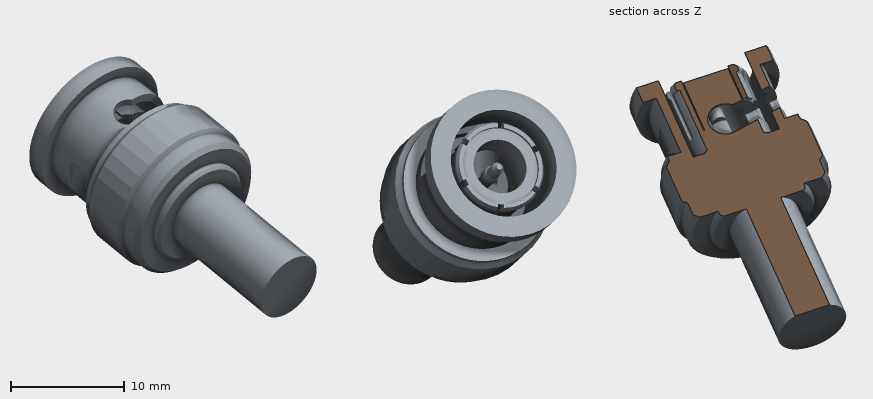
import cadquery as cq
import math


total_length = 27.3

flange_radius = 6.77
flange_end = 1.7
barrel_radius = 5.65
collar_start = 7.67
collar_radius = 6.77
collar_end = 8.15
knurl_facets = 36
knurl_radius = 7.248
knurl_start = 8.68
knurl_end = 12.53
rear_band_start = 12.83
rear_band_radius = 6.85
shell_end = 14.65
rear_band_chamfer = 0.45
bore_radius = 4.91

seat_x = 5.87
seat_y = 0.03
seat_radius = 1.55
track_mouth_start = 3.95
track_mouth_end = 6.3
track_seat_start = 4.95

flat_height = 3.39
flat_distance = math.sqrt(barrel_radius**2 - (flat_height / 2) ** 2)

finger_front = 0.76
finger_bump_radius = 4.08
finger_tip_radius = 3.88
finger_bump_start = 1.12
finger_bump_end = 1.5
finger_neck_start = 1.7
finger_radius = 3.85
finger_inner_radius = 3.52
finger_slot_width = 0.57
finger_count = 6
finger_pitch = 360 / finger_count

chamber_floor = 8.55
root_cone_height = finger_bump_radius - finger_radius
cavity_depth = 6.28
insulator_front = 1.0
insulator_radius = 3.5
insulator_bore_radius = 2.45
pin_radius = 0.695
pin_front_radius = 0.55
pin_tip = 1.2
pin_tip_radius = 0.232
pin_nose_end = 1.7
pin_taper_start = 3.0
pin_taper_end = 3.28

rear_ring_radius = bore_radius
rear_ring_end = 15.32
rear_ring_chamfer = 0.25
tube_radius = 3.22


def turned(profile):
    """Revolve a closed (x, radius) profile about the X axis."""
    return cq.Workplane("XY").polyline(profile).close().revolve(360, (0, 0, 0), (1, 0, 0))


def cylinder(radius, start, end):
    return cq.Workplane("YZ").workplane(offset=start).circle(radius).extrude(end - start)


def bayonet_slot():
    """Seat and entry track, cut from the axis plane upwards."""
    height = 2 * barrel_radius
    seat = cq.Workplane("XY").center(seat_x, seat_y).circle(seat_radius).extrude(height)
    mouth_y = barrel_radius
    mouth_dx = track_mouth_end - seat_x
    mouth_dy = mouth_y - seat_y
    mouth_distance = math.hypot(mouth_dx, mouth_dy)
    tangent_angle = math.atan2(mouth_dy, mouth_dx) - math.acos(seat_radius / mouth_distance)
    tangent_x = seat_x + seat_radius * math.cos(tangent_angle)
    tangent_y = seat_y + seat_radius * math.sin(tangent_angle)
    track = (
        cq.Workplane("XY")
        .moveTo(track_mouth_start, mouth_y)
        .lineTo(track_mouth_end, mouth_y)
        .lineTo(tangent_x, tangent_y)
        .lineTo(track_seat_start, seat_y)
        .close()
        .extrude(height)
    )
    return seat.union(track)


def knurl():
    """Faceted grip with one corner on each of the Y and Z axes, bevelled at both ends."""
    facets = (
        cq.Workplane("YZ")
        .workplane(offset=collar_end)
        .polygon(knurl_facets, 2 * knurl_radius)
        .extrude(rear_band_start - collar_end)
    )
    bevels = turned([
        (collar_end, 0),
        (collar_end, collar_radius),
        (knurl_start, knurl_radius),
        (knurl_end, knurl_radius),
        (rear_band_start, rear_band_radius),
        (rear_band_start, 0),
    ])
    return facets.intersect(bevels)


def barrel_flat():
    length = track_mouth_end - track_mouth_start
    centre_x = (track_mouth_start + track_mouth_end) / 2
    thickness = barrel_radius - flat_distance
    centre_y = -(flat_distance + thickness / 2)
    return cq.Workplane("XY").box(length, thickness, flat_height).translate((centre_x, centre_y, 0))


def shell():
    """Flange, barrel, collar, grip and rear band, bored from the front to the chamber floor."""
    body = cylinder(flange_radius, 0, flange_end)
    body = body.union(cylinder(barrel_radius, flange_end, collar_start))
    body = body.union(cylinder(collar_radius, collar_start, collar_end))
    body = body.union(knurl())
    rear_band = cylinder(rear_band_radius, rear_band_start, shell_end)
    body = body.union(rear_band.faces(">X").chamfer(rear_band_chamfer))
    return body.cut(cylinder(bore_radius, 0, chamber_floor)).cut(barrel_flat())


def contact_sleeve():
    """Sleeve with a tapered bump at its tip, divided by narrow radial slots."""
    sleeve = turned([
        (finger_front, finger_inner_radius),
        (finger_front, finger_tip_radius),
        (finger_bump_start, finger_bump_radius),
        (finger_bump_end, finger_bump_radius),
        (finger_neck_start, finger_radius),
        (chamber_floor - root_cone_height, finger_radius),
        (chamber_floor, finger_bump_radius),
        (chamber_floor, finger_inner_radius),
    ])
    slot = cq.Workplane("XY").box(
        cavity_depth, finger_slot_width, bore_radius, centered=(False, True, False)
    )
    for index in range(finger_count):
        sleeve = sleeve.cut(slot.rotate((0, 0, 0), (1, 0, 0), index * finger_pitch))
    return sleeve


def loose_finger_sector():
    """Wedge from +Z towards +Y, one finger wide, reaching back to the middle of the bayonet slot."""
    angle = math.radians(finger_pitch)
    reach = 2 * bore_radius
    return (
        cq.Workplane("YZ")
        .lineTo(0, reach)
        .lineTo(reach * math.sin(angle), reach * math.cos(angle))
        .close()
        .extrude(seat_x)
    )


def core():
    """Insulator cup with the centre pin standing in its bore, solid behind the sleeve slots."""
    cup = cylinder(insulator_radius, insulator_front, cavity_depth).cut(
        cylinder(insulator_bore_radius, insulator_front, cavity_depth)
    )
    pin = turned([
        (pin_tip, 0),
        (pin_tip, pin_tip_radius),
        (pin_nose_end, pin_front_radius),
        (pin_taper_start, pin_front_radius),
        (pin_taper_end, pin_radius),
        (cavity_depth, pin_radius),
        (cavity_depth, 0),
    ])
    root = cylinder(finger_inner_radius, cavity_depth, chamber_floor)
    return root.union(cup).union(pin)


def rear_end():
    ring = cylinder(rear_ring_radius, shell_end, rear_ring_end)
    ring = ring.faces(">X").chamfer(rear_ring_chamfer)
    return ring.union(cylinder(tube_radius, rear_ring_end, total_length))


def make_connector():
    """Everything that stays joined once the bayonet slot is cut."""
    fixed_fingers = contact_sleeve().cut(loose_finger_sector())
    body = shell().union(rear_end()).union(core()).union(fixed_fingers)
    return body.cut(bayonet_slot())


def make_loose_finger():
    """Front of the one finger that the bayonet slot separates from its root."""
    return contact_sleeve().intersect(loose_finger_sector()).cut(bayonet_slot())


connector = make_connector()
loose_finger = make_loose_finger()
result = cq.Compound.makeCompound([*connector.solids().vals(), *loose_finger.solids().vals()])